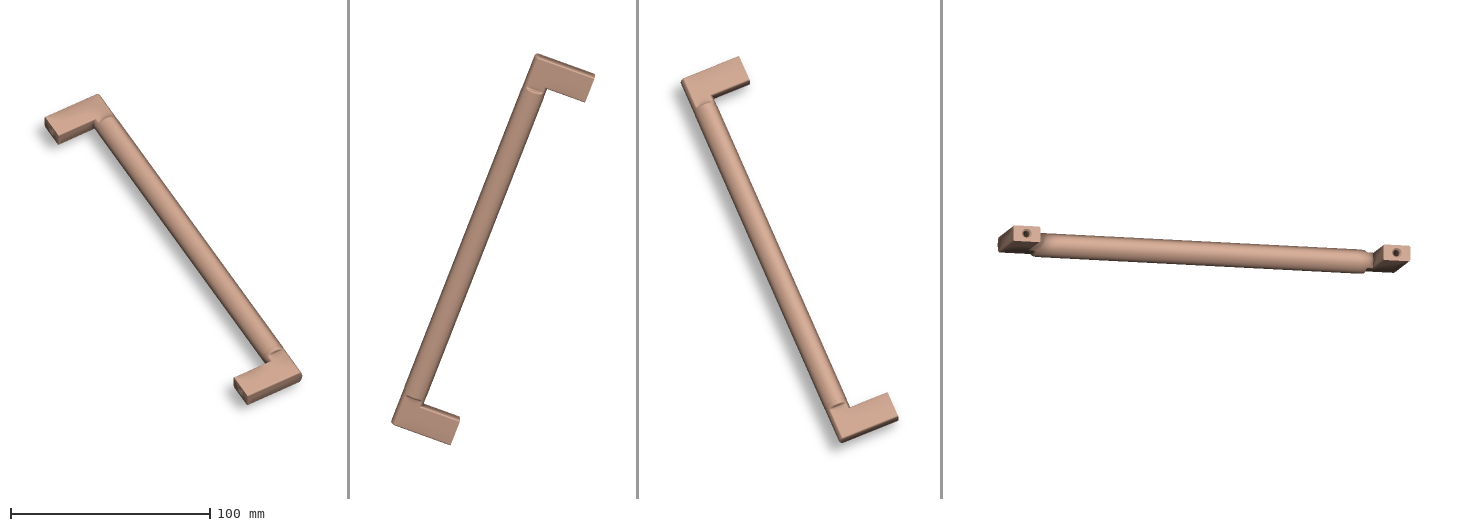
import cadquery as cq
import math

total_length = 206.0
bar_diameter = 12.2
foot_reach = 26.0

fitting_diameter = 12.0
foot_width = 14.0
foot_thickness = 8.0
flat_length = 17.0
fitting_length = 19.5
edge_radius = 0.8

hole_diameter = 3.3
hole_mouth_diameter = 5.0
hole_depth = 12.0
drill_point_angle = 118.0

tolerance = 0.001

half_length = total_length / 2
hole_mouth_depth = (hole_mouth_diameter - hole_diameter) / 2
hole_tip_depth = hole_diameter / 2 / math.tan(math.radians(drill_point_angle / 2))


def make_bar():
    """Plain round grip between the two fittings."""
    length = total_length - 2 * fitting_length
    return cq.Workplane("YZ", origin=(-length / 2, 0, 0)).circle(bar_diameter / 2).extrude(length)


def make_fitting_body():
    """Foot and round collar in one, flattened to the foot thickness up to a shoulder, edges rounded."""
    foot = (
        cq.Workplane("XY")
        .box(foot_width, foot_reach, foot_thickness, centered=(False, False, True))
        .translate((-half_length, -foot_reach, 0))
    )
    collar = (
        cq.Workplane("YZ", origin=(-half_length, 0, 0))
        .circle(fitting_diameter / 2)
        .extrude(fitting_length)
    )
    flats = (
        cq.Workplane("XY", origin=(-half_length, 0, 0))
        .box(flat_length, fitting_diameter, fitting_diameter, centered=(False, True, True))
        .cut(
            cq.Workplane("XY", origin=(-half_length, 0, 0))
            .box(flat_length, fitting_diameter, foot_thickness, centered=(False, True, True))
        )
    )
    body = foot.union(collar.cut(flats))
    end_face_edges = body.faces("<Y or >X").edges().vals()
    foot_inner_x = -half_length + foot_width

    def stays_sharp(edge):
        """True on the mounting and joint faces, and where the collar leaves the foot's inner face."""
        on_end_face = any(edge.isSame(end_edge) for end_edge in end_face_edges)
        meets_inner_face = edge.geomType() == "CIRCLE" and abs(edge.Center().x - foot_inner_x) < tolerance
        return on_end_face or meets_inner_face

    rounded_edges = [edge for edge in body.edges().vals() if not stays_sharp(edge)]
    return body.newObject(rounded_edges).fillet(edge_radius)


def make_hole():
    """Drilled blind hole with a countersunk mouth, entering from the mounting face."""
    profile = (
        cq.Workplane("XY")
        .polyline([
            (0, 0),
            (hole_mouth_diameter / 2, 0),
            (hole_diameter / 2, hole_mouth_depth),
            (hole_diameter / 2, hole_depth),
            (0, hole_depth + hole_tip_depth),
        ])
        .close()
    )
    hole_x = -half_length + foot_width / 2
    return profile.revolve(360, (0, 0), (0, 1)).translate((hole_x, -foot_reach, 0))


bar = make_bar()
left_fitting = make_fitting_body().cut(make_hole())
fittings = [left_fitting, left_fitting.mirror("YZ")]

result = cq.Compound.makeCompound([bar.val()] + [fitting.val() for fitting in fittings])